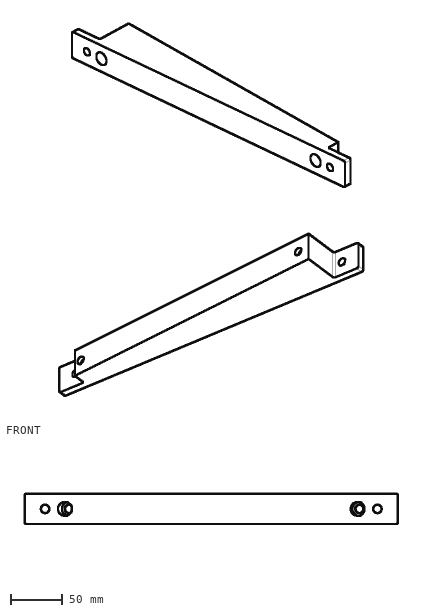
import cadquery as cq
import math

length = 365.0
height = 30.0
plate_thickness = 8.0
corner_radius = 2.0

block_length = 305.0
block_depth = 49.3
taper_angle = 5.0
root_radius = 2.0

end_hole_spacing = 325.0
end_hole_diameter = 8.0

bolt_spacing = 286.0
bolt_hole_diameter = 8.0
counterbore_diameter = 13.5
seat_thickness = 5.0

taper_slope = math.tan(math.radians(taper_angle))
block_left = -block_length / 2
block_right = block_length / 2


def tapered_face_y(x):
    return block_depth - (x - block_left) * taper_slope


def make_body():
    plate = (
        cq.Workplane("XY")
        .box(length, plate_thickness, height, centered=(True, False, True))
        .edges("|Y")
        .fillet(corner_radius)
    )
    block = (
        cq.Workplane("XY")
        .polyline([
            (block_left, 0),
            (block_right, 0),
            (block_right, tapered_face_y(block_right)),
            (block_left, block_depth),
        ])
        .close()
        .extrude(height / 2, both=True)
    )
    root_edges = cq.selectors.BoxSelector(
        (block_left - root_radius, plate_thickness - root_radius, -height),
        (block_right + root_radius, plate_thickness + root_radius, height),
    )
    return plate.union(block).edges("|Z").edges(root_edges).fillet(root_radius)


def end_hole(x):
    return cq.Workplane("XZ", origin=(x, 0, 0)).circle(end_hole_diameter / 2).extrude(-plate_thickness)


def counterbored_hole(x):
    """Cutter whose axis meets the front face at x and is normal to the tapered face."""
    angle = math.radians(taper_angle)
    axis = cq.Vector(math.sin(angle), math.cos(angle), 0)
    entry = cq.Vector(x, 0, 0)
    face_distance = tapered_face_y(x) * math.cos(angle)
    overrun = counterbore_diameter
    start = entry - axis * overrun
    bore = cq.Solid.makeCylinder(
        counterbore_diameter / 2, overrun + face_distance - seat_thickness, start, axis
    )
    bolt = cq.Solid.makeCylinder(bolt_hole_diameter / 2, face_distance + 2 * overrun, start, axis)
    return cq.Workplane(obj=bore.fuse(bolt))


result = make_body()
for side in (-1, 1):
    result = result.cut(end_hole(side * end_hole_spacing / 2))
    result = result.cut(counterbored_hole(side * bolt_spacing / 2))